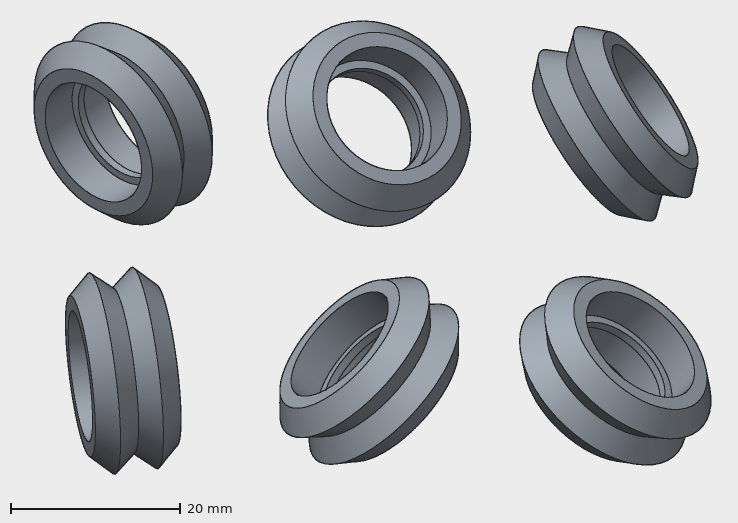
import cadquery as cq

width = 10.3
rim_diameter = 24.0
face_diameter = 19.2
groove_diameter = 19.7
seat_diameter = 15.6
shoulder_diameter = 13.6
shoulder_width = 1.0

half_width = width / 2
rim_offset = half_width / 2
half_shoulder = shoulder_width / 2


def double_v_body():
    """Solid wheel with two V-shaped rims and a V groove between them."""
    profile = [
        (0, -half_width),
        (face_diameter / 2, -half_width),
        (rim_diameter / 2, -rim_offset),
        (groove_diameter / 2, 0),
        (rim_diameter / 2, rim_offset),
        (face_diameter / 2, half_width),
        (0, half_width),
    ]
    return cq.Workplane("XY").polyline(profile).close().revolve(360, (0, 0), (0, 1))


def cylinder_along_y(diameter, y_start, y_end):
    """Cylinder on the wheel axis between two Y positions."""
    plane = cq.Workplane("XZ", origin=(0, y_start, 0))
    return plane.circle(diameter / 2).extrude(y_start - y_end)


def bearing_bore():
    """Through bore with a bearing seat on each side of the central shoulder."""
    bore = cylinder_along_y(shoulder_diameter, -half_width, half_width)
    front_seat = cylinder_along_y(seat_diameter, -half_width, -half_shoulder)
    back_seat = cylinder_along_y(seat_diameter, half_shoulder, half_width)
    return bore.union(front_seat).union(back_seat)


result = double_v_body().cut(bearing_bore())